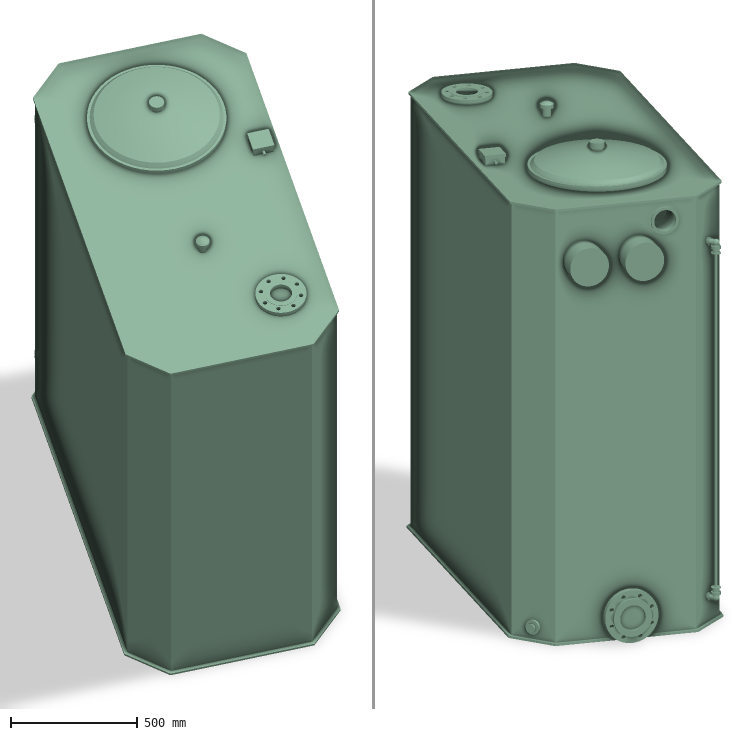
import cadquery as cq
import math


TOTAL_HEIGHT = 1955.0
NOZZLE_END_X = -933.0

BASE_LENGTH = 1693.0
BASE_WIDTH = 890.0
BASE_OVERHANG = 14.0
ROOF_OVERHANG = 8.0
TANK_LENGTH = BASE_LENGTH - 2 * BASE_OVERHANG
TANK_WIDTH = BASE_WIDTH - 2 * BASE_OVERHANG
TANK_CORNER = 140.0
PLATE_THICKNESS = 10.0
ROOF_TOP = 1830.0
WALL_X = -TANK_LENGTH / 2

CORNER_X = -(TANK_LENGTH - TANK_CORNER) / 2
CORNER_Y = (TANK_WIDTH - TANK_CORNER) / 2

STUB_DIAMETER = 160.0
STUB_Z = 1607.0
STUB_YS = (180.0, -49.0)

SOCKET_DIAMETER = 113.0
SOCKET_BORE = 90.0
SOCKET_Y = -160.0
SOCKET_Z = 1738.0
SOCKET_PROJECTION = 10.0
SOCKET_DEPTH = 117.0
SOCKET_FLOOR = 10.0
SOCKET_PIN_DIAMETER = 30.0
SOCKET_PIN_LENGTH = 20.0

BOLT_COUNT = 8
BOLT_HOLE = 18.0

OUTLET_Z = 117.0
OUTLET_DIAMETER = 220.0
OUTLET_BOLT_CIRCLE = 180.0
OUTLET_THICKNESS = 25.0
OUTLET_FACE_DIAMETER = 158.0
OUTLET_FACE_HEIGHT = 15.0
OUTLET_PIPE = 117.0
OUTLET_BORE = 105.0

INLET_X = 569.0
INLET_Y = 235.0
INLET_DIAMETER = 203.0
INLET_BOLT_CIRCLE = 160.0
INLET_THICKNESS = 22.0
INLET_FACE_DIAMETER = 131.0
INLET_FACE_HEIGHT = 2.0
INLET_BORE = 88.0

GAUGE_STANDOFF = 37.0
GAUGE_TUBE = 12.0
GAUGE_ELBOW = 25.0
GAUGE_ELBOW_BALL = 30.0
GAUGE_WALL_COLLAR = 33.0
GAUGE_WALL_COLLAR_LENGTH = 10.0
GAUGE_NUT = 27.0
GAUGE_RING = 40.0
GAUGE_INNER_RING = (14.0, 12.0)
GAUGE_OUTER_RING = (41.0, 4.0)

DRAIN_Z = 60.0
DRAIN_STEPS = ((60.0, 12.0), (30.0, 25.0), (40.0, 30.0))

MANHOLE_X = -440.0
MANHOLE_DIAMETER = 532.0
CLAMP_DIAMETER = 553.0
CLAMP_BOTTOM = 10.0
CLAMP_TOP = 30.0
RIM_HEIGHT = 47.0
DOME_DIAMETER = 500.0
DOME_HEIGHT = 90.0
KNOB_DIAMETER = 60.0
KNOB_NECK = 49.0
KNOB_BOTTOM = 102.0

BOX_X = -211.0
BOX_Y = 365.0
BOX_LID_SIDE = 88.0
BOX_BASE_SIDE = 82.0
BOX_BASE_HEIGHT = 30.0
BOX_HEIGHT = 43.0
GLAND_DIAMETER = 12.0
GLAND_SPAN = 117.0
GLAND_HEIGHT = 14.0

VENT_X = 250.0
VENT_STEM = 33.0
VENT_CAP = 55.0
VENT_CAP_BOTTOM = 40.0
VENT_CAP_EDGE = 55.0
VENT_HEIGHT = 65.0


def octagon(overhang, bottom, top):
    """Octagonal prism whose sides stand outside the tank walls by the overhang."""
    corner_leg = TANK_CORNER + overhang * (2 - math.sqrt(2))
    return (
        cq.Workplane("XY")
        .workplane(offset=bottom)
        .rect(TANK_LENGTH + 2 * overhang, TANK_WIDTH + 2 * overhang)
        .extrude(top - bottom)
        .edges("|Z")
        .chamfer(corner_leg)
    )


def rod(start, direction, diameter, begin, end):
    """Cylinder between two distances from a start point along a direction."""
    axis = cq.Vector(*direction).normalized()
    foot = cq.Vector(*start) + axis * begin
    return cq.Workplane(cq.Solid.makeCylinder(diameter / 2, end - begin, foot, axis))


def dome_midpoint(edge_radius, edge_height, top_height):
    """Point of a spherical dome's profile at half its edge radius."""
    rise = top_height - edge_height
    sphere_radius = (edge_radius**2 + rise**2) / (2 * rise)
    radius = edge_radius / 2
    return radius, top_height - sphere_radius + math.sqrt(sphere_radius**2 - radius**2)


def bolt_holes(plane, bolt_circle, depth):
    """Ring of bolt holes that straddle the centre lines."""
    half_step = 180 / BOLT_COUNT
    return (
        cq.Workplane(plane)
        .polarArray(bolt_circle / 2, half_step, 360, BOLT_COUNT)
        .circle(BOLT_HOLE / 2)
        .extrude(depth)
    )


def make_flange(plane, diameter, thickness, face_diameter, face_height, bolt_circle):
    """Round flange with a raised face and bolt holes, built up from its back."""
    disc = cq.Workplane(plane).circle(diameter / 2).extrude(thickness)
    face = cq.Workplane(plane).circle(face_diameter / 2).extrude(thickness + face_height)
    return disc.union(face).cut(bolt_holes(plane, bolt_circle, thickness))


def make_tank():
    """Shell, base plate, roof plate and pipe stubs, with a seat for the socket."""
    tank = octagon(0, PLATE_THICKNESS, ROOF_TOP - PLATE_THICKNESS)
    tank = tank.union(octagon(BASE_OVERHANG, 0, PLATE_THICKNESS))
    tank = tank.union(octagon(ROOF_OVERHANG, ROOF_TOP - PLATE_THICKNESS, ROOF_TOP))
    for y in STUB_YS:
        stub = rod((WALL_X, y, STUB_Z), (-1, 0, 0), STUB_DIAMETER, 0, WALL_X - NOZZLE_END_X)
        tank = tank.union(stub)
    seat_depth = SOCKET_DEPTH + SOCKET_FLOOR
    seat = rod((WALL_X, SOCKET_Y, SOCKET_Z), (1, 0, 0), SOCKET_DIAMETER, 0, seat_depth)
    return tank.cut(seat)


def make_overflow_socket():
    """Blind socket with a small pin in the middle of its floor."""
    start = (WALL_X, SOCKET_Y, SOCKET_Z)
    inward = (1, 0, 0)
    barrel = rod(start, inward, SOCKET_DIAMETER, -SOCKET_PROJECTION, SOCKET_DEPTH + SOCKET_FLOOR)
    bore = rod(start, inward, SOCKET_BORE, -SOCKET_PROJECTION, SOCKET_DEPTH)
    pin = rod(start, inward, SOCKET_PIN_DIAMETER, SOCKET_DEPTH - SOCKET_PIN_LENGTH, SOCKET_DEPTH)
    return barrel.cut(bore).union(pin)


def make_outlet():
    """Flange on a pipe, with a shallow bore as deep as its raised face."""
    back_x = NOZZLE_END_X + OUTLET_FACE_HEIGHT + OUTLET_THICKNESS
    plane = cq.Plane(origin=(back_x, 0, OUTLET_Z), xDir=(0, 1, 0), normal=(-1, 0, 0))
    flange = make_flange(
        plane, OUTLET_DIAMETER, OUTLET_THICKNESS,
        OUTLET_FACE_DIAMETER, OUTLET_FACE_HEIGHT, OUTLET_BOLT_CIRCLE,
    )
    pipe = rod((WALL_X, 0, OUTLET_Z), (-1, 0, 0), OUTLET_PIPE, 0, WALL_X - back_x)
    bore = rod((NOZZLE_END_X, 0, OUTLET_Z), (1, 0, 0), OUTLET_BORE, 0, OUTLET_FACE_HEIGHT)
    return flange.union(pipe).cut(bore)


def make_inlet():
    """Open flange lying on the roof."""
    plane = cq.Plane(origin=(INLET_X, INLET_Y, ROOF_TOP))
    flange = make_flange(
        plane, INLET_DIAMETER, INLET_THICKNESS,
        INLET_FACE_DIAMETER, INLET_FACE_HEIGHT, INLET_BOLT_CIRCLE,
    )
    bore = cq.Workplane(plane).circle(INLET_BORE / 2).extrude(INLET_THICKNESS + INLET_FACE_HEIGHT)
    return flange.cut(bore)


def gauge_elbow(wall_point, tube_point, along_tube):
    """Elbow from the corner face to the tube, with its wall collar, nut and rings."""
    outward = (-1, -1, 0)
    elbow = rod(wall_point, outward, GAUGE_ELBOW, 0, GAUGE_STANDOFF)
    elbow = elbow.union(rod(wall_point, outward, GAUGE_WALL_COLLAR, 0, GAUGE_WALL_COLLAR_LENGTH))
    elbow = elbow.union(rod(tube_point, along_tube, GAUGE_ELBOW, 0, GAUGE_INNER_RING[0]))
    elbow = elbow.union(cq.Workplane("XY").sphere(GAUGE_ELBOW_BALL / 2).translate(tube_point))
    elbow = elbow.union(rod(tube_point, along_tube, GAUGE_NUT, GAUGE_INNER_RING[0], GAUGE_OUTER_RING[0]))
    for ring_start, ring_thickness in (GAUGE_INNER_RING, GAUGE_OUTER_RING):
        ring = rod(tube_point, along_tube, GAUGE_RING, ring_start, ring_start + ring_thickness)
        elbow = elbow.union(ring)
    return elbow


def make_level_gauge():
    """Upright tube held off the corner face by an elbow at each end."""
    step = GAUGE_STANDOFF / math.sqrt(2)
    tube_x = CORNER_X - step
    tube_y = -CORNER_Y - step
    tube_start = GAUGE_OUTER_RING[0]
    tube_end = STUB_Z - OUTLET_Z - tube_start
    gauge = rod((tube_x, tube_y, OUTLET_Z), (0, 0, 1), GAUGE_TUBE, tube_start, tube_end)
    for z, along_tube in ((OUTLET_Z, (0, 0, 1)), (STUB_Z, (0, 0, -1))):
        wall_point = (CORNER_X, -CORNER_Y, z)
        gauge = gauge.union(gauge_elbow(wall_point, (tube_x, tube_y, z), along_tube))
    return gauge


def make_drain():
    """Stepped plug standing square on the corner face."""
    start = (CORNER_X, CORNER_Y, DRAIN_Z)
    outward = (-1, 1, 0)
    drain = cq.Workplane("XY")
    begin = 0
    for diameter, end in DRAIN_STEPS:
        drain = drain.add(rod(start, outward, diameter, begin, end))
        begin = end
    return drain.combine()


def make_manhole():
    """Turned rim with a clamp band, a domed lid and a knob."""
    rim_radius = MANHOLE_DIAMETER / 2
    dome_radius = DOME_DIAMETER / 2
    cover = (
        cq.Workplane("XZ")
        .lineTo(rim_radius, 0)
        .lineTo(rim_radius, CLAMP_BOTTOM)
        .lineTo(CLAMP_DIAMETER / 2, CLAMP_BOTTOM)
        .lineTo(CLAMP_DIAMETER / 2, CLAMP_TOP)
        .lineTo(rim_radius, CLAMP_TOP)
        .lineTo(dome_radius, RIM_HEIGHT)
        .threePointArc(dome_midpoint(dome_radius, RIM_HEIGHT, DOME_HEIGHT), (0, DOME_HEIGHT))
        .close()
        .revolve(360, (0, 0), (0, 1))
        .translate((MANHOLE_X, 0, ROOF_TOP))
    )
    centre = (MANHOLE_X, 0, ROOF_TOP)
    neck = rod(centre, (0, 0, 1), KNOB_NECK, RIM_HEIGHT, KNOB_BOTTOM)
    knob = rod(centre, (0, 0, 1), KNOB_DIAMETER, KNOB_BOTTOM, TOTAL_HEIGHT - ROOF_TOP)
    return cover.union(neck).union(knob)


def make_junction_box():
    """Square box with a wider lid and a cable gland on each X side."""
    floor = cq.Workplane("XY", origin=(BOX_X, BOX_Y, ROOF_TOP))
    base = floor.rect(BOX_BASE_SIDE, BOX_BASE_SIDE).extrude(BOX_BASE_HEIGHT)
    lid = (
        floor.workplane(offset=BOX_BASE_HEIGHT)
        .rect(BOX_LID_SIDE, BOX_LID_SIDE)
        .extrude(BOX_HEIGHT - BOX_BASE_HEIGHT)
    )
    gland_centre = (BOX_X, BOX_Y, ROOF_TOP + GLAND_HEIGHT)
    glands = rod(gland_centre, (1, 0, 0), GLAND_DIAMETER, -GLAND_SPAN / 2, GLAND_SPAN / 2)
    return base.union(lid).union(glands)


def make_vent():
    """Turned stem under a cap with a domed top."""
    cap_radius = VENT_CAP / 2
    return (
        cq.Workplane("XZ")
        .lineTo(VENT_STEM / 2, 0)
        .lineTo(VENT_STEM / 2, VENT_CAP_BOTTOM)
        .lineTo(cap_radius, VENT_CAP_BOTTOM)
        .lineTo(cap_radius, VENT_CAP_EDGE)
        .threePointArc(dome_midpoint(cap_radius, VENT_CAP_EDGE, VENT_HEIGHT), (0, VENT_HEIGHT))
        .close()
        .revolve(360, (0, 0), (0, 1))
        .translate((VENT_X, 0, ROOF_TOP))
    )


tank = make_tank()
overflow_socket = make_overflow_socket()
outlet = make_outlet()
inlet = make_inlet()
level_gauge = make_level_gauge()
drain = make_drain()
manhole = make_manhole()
junction_box = make_junction_box()
vent = make_vent()

result = cq.Compound.makeCompound([
    tank.val(),
    overflow_socket.val(),
    outlet.val(),
    inlet.val(),
    level_gauge.val(),
    drain.val(),
    manhole.val(),
    junction_box.val(),
    vent.val(),
])